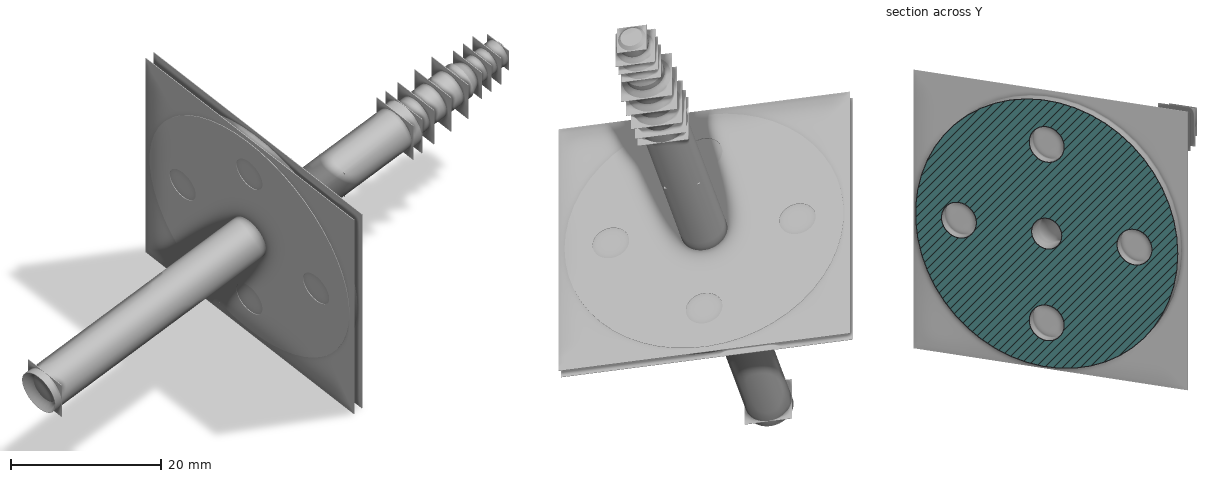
import cadquery as cq

tip_y = 42.9
mouth_y = -42.9

sheet_thickness = 0.1
sheet_overhang = 0.04

plate_side = 39.65
plate_overhang = 0.815
plate_radius = plate_side / 2 - plate_overhang
plate_front_y = -3.7
plate_back_y = -2.15
plate_lip = 0.1
hole_radius = 2.5
hole_spacing = 12.7

shaft_radius = 3.2
collar_radius = 3.4
collar_front_y = 23.3
collar_back_y = 25.0
bore_radius = 2.15
bore_end_y = 11.6
bore_end_overhang = 0.3
mouth_floor_y = -41.8
rim_width = 0.1

thick_radius = 2.7
thin_radius = 2.0
taper_front_y = 35.3
taper_back_y = 36.7
nose_radius = 1.5
nose_y = 42.4

thick_barb_radius = 3.4
thick_barb_length = 0.9
thick_barb_first_y = 27.1
thick_barb_pitch = 3.2

thin_barb_radius = 2.7
thin_barb_length = 0.7
thin_barb_first_y = taper_back_y
thin_barb_pitch = 1.8

barbs_per_stem = 3


def cone(y0, radius0, y1, radius1):
    """Solid of revolution about Y between two stations."""
    outline = [(0, y0), (radius0, y0), (radius1, y1), (0, y1)]
    return cq.Workplane("XY").polyline(outline).close().revolve(360, (0, 0), (0, 1))


def cylinder(y0, y1, radius):
    return cone(y0, radius, y1, radius)


def square_sheet(y0, covered_radius, overhang=sheet_overhang):
    """Thin square sheet starting at y0, overhanging a round face."""
    side = 2 * (covered_radius + overhang)
    return cq.Workplane("XY").box(side, sheet_thickness, side).translate((0, y0 + sheet_thickness / 2, 0))


def barb(flat_y, length, radius, stem_radius):
    """Cone widening towards the shaft, ended by a square sheet."""
    return cone(flat_y, radius, flat_y + length, stem_radius).union(square_sheet(flat_y, radius))


def barb_row(first_y, pitch, length, radius, stem_radius):
    row = barb(first_y, length, radius, stem_radius)
    for index in range(1, barbs_per_stem):
        row = row.union(barb(first_y + index * pitch, length, radius, stem_radius))
    return row


def shaft():
    body = cylinder(mouth_y, collar_back_y, shaft_radius)
    body = body.union(cylinder(collar_front_y, collar_back_y, collar_radius))
    for sheet_y in (collar_front_y, collar_back_y - sheet_thickness):
        body = body.union(square_sheet(sheet_y, collar_radius))
    return body


def nose():
    body = cylinder(collar_back_y, taper_front_y, thick_radius)
    body = body.union(cone(taper_front_y, thick_radius, taper_back_y, thin_radius))
    body = body.union(cylinder(taper_back_y, nose_y, thin_radius))
    body = body.union(cone(nose_y, thin_radius, tip_y, nose_radius))
    body = body.union(square_sheet(nose_y, thin_radius))
    body = body.union(
        barb_row(thick_barb_first_y, thick_barb_pitch, thick_barb_length, thick_barb_radius, thick_radius)
    )
    return body.union(
        barb_row(thin_barb_first_y, thin_barb_pitch, thin_barb_length, thin_barb_radius, thin_radius)
    )


def plate():
    """Drilled disc whose holes are closed by the two square sheets."""
    disc = cylinder(plate_front_y - plate_lip, plate_back_y + plate_lip, plate_radius)
    hole = cylinder(plate_front_y - plate_lip, plate_back_y + plate_lip, hole_radius)
    for x, z in ((1, 0), (0, 1), (-1, 0), (0, -1)):
        disc = disc.cut(hole.translate((x * hole_spacing, 0, z * hole_spacing)))
    for sheet_y in (plate_front_y, plate_back_y - sheet_thickness):
        disc = disc.union(square_sheet(sheet_y, plate_radius, plate_overhang))
    return disc


result = shaft().union(nose()).union(plate())

result = result.cut(cylinder(mouth_floor_y, bore_end_y, bore_radius))
result = result.cut(cone(mouth_y, shaft_radius - rim_width, mouth_floor_y, bore_radius))

result = result.union(square_sheet(mouth_floor_y, shaft_radius))
result = result.union(square_sheet(bore_end_y, bore_radius, bore_end_overhang))